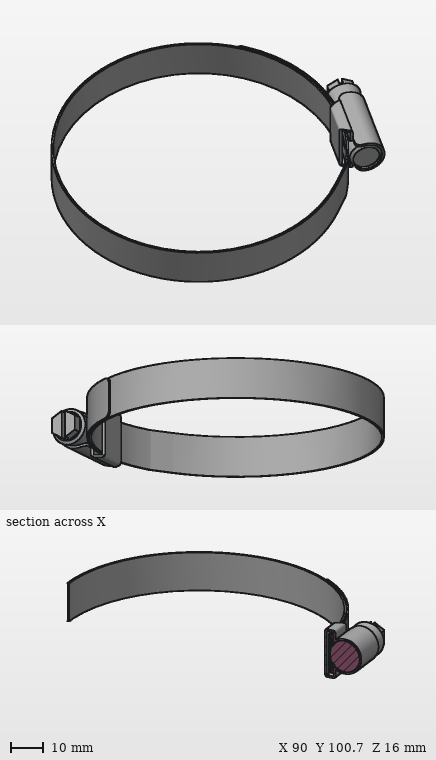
import cadquery as cq
import math


band_radius = 45.0
band_thickness = 0.6
band_width = 12.6
lap_gap = 0.05
inner_end_angle = 90
step_start_angle = 54.8
step_end_angle = 64.5
tail_end_angle = 150.2
tail_corner_radius = 2.2

screw_y = 49.9
worm_radius = 5.0
worm_end_x = 11.4
worm_end_chamfer = 0.9
neck_end_x = -11.8
collar_radius = 5.6
collar_x = -16.0
collar_slope_length = 0.6
head_end_x = -19.0
head_across_flats = 8.0
slot_width = 1.2
slot_depth = 2.0

barrel_radius = 5.8
barrel_half_length = 11.4
barrel_corner_radius = 2.4
strap_top_y = 46.8
strap_bottom_y = 43.0
strap_height = 16.0
strap_thickness = 0.8
strap_corner_radius = 1.0
strap_top_length = 14.3
strap_bottom_length = 10.1


def polar(radius, angle):
    turn = math.radians(angle)
    return (radius * math.cos(turn), radius * math.sin(turn))


def arc_to(path, radius, start_angle, end_angle):
    """Continue the path along a circle around the band centre."""
    middle_angle = (start_angle + end_angle) / 2
    return path.threePointArc(polar(radius, middle_angle), polar(radius, end_angle))


def make_screw():
    across_corners = head_across_flats / math.cos(math.radians(30))
    collar_rim_x = collar_x + collar_slope_length
    turned = (
        cq.Workplane("XY")
        .moveTo(collar_x, 0)
        .lineTo(collar_x, across_corners / 2)
        .lineTo(collar_rim_x, collar_radius)
        .lineTo(neck_end_x, worm_radius)
        .lineTo(worm_end_x - worm_end_chamfer, worm_radius)
        .lineTo(worm_end_x, worm_radius - worm_end_chamfer)
        .lineTo(worm_end_x, 0)
        .close()
        .revolve(360, (0, 0, 0), (1, 0, 0))
    )

    head = (
        cq.Workplane("YZ", origin=(head_end_x, 0, 0))
        .transformed(rotate=(0, 0, 90))
        .polygon(6, across_corners)
        .extrude(collar_rim_x - head_end_x)
    )
    slot = (
        cq.Workplane("YZ", origin=(head_end_x, 0, 0))
        .rect(slot_width, 2 * across_corners)
        .extrude(slot_depth)
    )
    return turned.union(head.cut(slot)).translate((0, screw_y, 0))


def make_band(screw):
    layer_inside = band_radius - band_thickness
    tail_inside = band_radius + lap_gap
    tail_outside = tail_inside + band_thickness
    full_turn_start = inner_end_angle - 360

    outline = cq.Workplane("XY", origin=(0, 0, -band_width / 2)).moveTo(*polar(band_radius, step_start_angle))
    outline = outline.lineTo(*polar(tail_outside, step_end_angle))
    outline = arc_to(outline, tail_outside, step_end_angle, tail_end_angle)
    outline = outline.lineTo(*polar(tail_inside, tail_end_angle))
    outline = arc_to(outline, tail_inside, tail_end_angle, step_end_angle)
    outline = outline.lineTo(*polar(layer_inside, step_start_angle))
    outline = arc_to(outline, layer_inside, step_start_angle, full_turn_start)
    outline = outline.lineTo(*polar(band_radius, full_turn_start))
    outline = arc_to(outline, band_radius, full_turn_start, step_start_angle)
    band = outline.close().extrude(band_width)

    tail_middle = polar((tail_inside + tail_outside) / 2, tail_end_angle)
    for z in (-band_width / 2, band_width / 2):
        corner = band.edges(cq.selectors.NearestToPointSelector((*tail_middle, z)))
        band = corner.fillet(tail_corner_radius)

    return band.cut(screw)


def make_barrel():
    barrel = (
        cq.Workplane("YZ", origin=(-barrel_half_length, screw_y, 0))
        .circle(barrel_radius)
        .extrude(2 * barrel_half_length)
    )
    side_height = screw_y + barrel_radius - strap_top_y
    side = (
        cq.Workplane("XY")
        .center(0, strap_top_y + side_height / 2)
        .rect(2 * barrel_half_length, side_height)
        .extrude(barrel_radius, both=True)
        .edges("|Z and <Y")
        .fillet(barrel_corner_radius)
    )
    return barrel.intersect(side)


def make_strap():
    strap_depth = strap_top_y - strap_bottom_y
    middle_y = (strap_top_y + strap_bottom_y) / 2
    loop = (
        cq.Workplane("YZ", origin=(0, middle_y, 0))
        .rect(strap_depth, strap_height)
        .extrude(strap_top_length / 2, both=True)
        .edges("|X")
        .fillet(strap_corner_radius)
    )
    window = (
        cq.Workplane("YZ", origin=(0, middle_y, 0))
        .rect(strap_depth - 2 * strap_thickness, strap_height - 2 * strap_thickness)
        .extrude(strap_top_length / 2, both=True)
    )
    taper = (
        cq.Workplane("XY")
        .moveTo(-strap_top_length / 2, strap_top_y)
        .lineTo(strap_top_length / 2, strap_top_y)
        .lineTo(strap_bottom_length / 2, strap_bottom_y)
        .lineTo(-strap_bottom_length / 2, strap_bottom_y)
        .close()
        .extrude(strap_height / 2, both=True)
    )
    return loop.cut(window).intersect(taper)


def make_housing():
    bore = (
        cq.Workplane("YZ", origin=(-barrel_half_length, screw_y, 0))
        .circle(worm_radius)
        .extrude(2 * barrel_half_length)
    )
    return make_barrel().union(make_strap()).cut(bore)


screw = make_screw()
band = make_band(screw)
housing = make_housing()

result = cq.Compound.makeCompound([*band.solids().vals(), *housing.solids().vals(), *screw.solids().vals()])